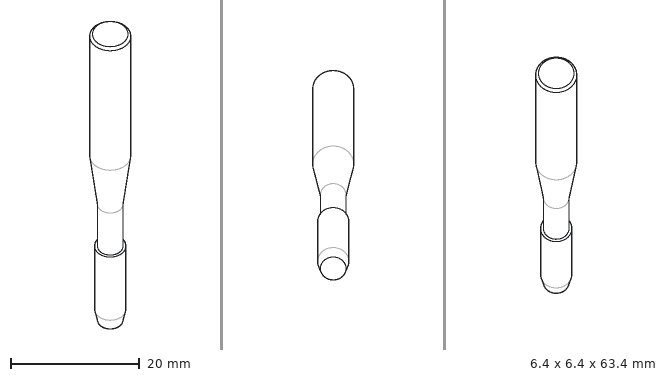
import cadquery as cq

total_length = 63.4
shank_diameter = 6.4

shank_chamfer = 0.45
cone_top_z = 36.45
cone_bottom_z = 25.75
neck_diameter = 4.0

head_diameter = 4.9
head_top_z = 16.4
tip_taper_height = 2.4
tip_diameter = 4.0


def turned_body(profile):
    """Revolve (radius, z) points, listed from bottom to top, about the Z axis."""
    bottom_z = profile[0][1]
    top_z = profile[-1][1]
    outline = [(0, bottom_z)] + [(-radius, z) for radius, z in profile] + [(0, top_z)]
    return cq.Workplane("YZ").polyline(outline).close().revolve(360, (0, 0), (0, 1))


def make_shank():
    shank_radius = shank_diameter / 2
    neck_radius = neck_diameter / 2
    return turned_body([
        (neck_radius, head_top_z),
        (neck_radius, cone_bottom_z),
        (shank_radius, cone_top_z),
        (shank_radius, total_length - shank_chamfer),
        (shank_radius - shank_chamfer, total_length),
    ])


def make_head():
    head_radius = head_diameter / 2
    return turned_body([
        (tip_diameter / 2, 0),
        (head_radius, tip_taper_height),
        (head_radius, head_top_z),
    ])


shank = make_shank()
head = make_head()

result = cq.Compound.makeCompound([shank.val(), head.val()])